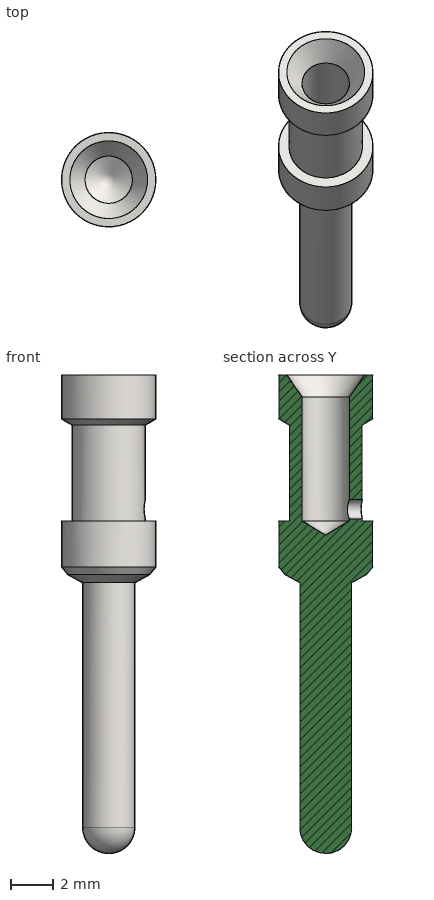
import cadquery as cq
import math

total_length = 22.8
pin_radius = 1.25
collar_radius = 2.25
neck_radius = 1.75

collar_bottom = 12.9
collar_edge = 13.65
collar_top = 15.85
head_bevel_bottom = 20.4
head_edge = 20.7

shoulder_radius = 1.95
shoulder_height = 13.28

mouth_radius = 1.85
bore_radius = 1.125
mouth_depth = 1.05
bore_bottom = collar_top
drill_point_angle = 118

inspection_radius = 0.45
inspection_height = 16.4


def make_body():
    """Revolve the outer profile: round-tipped pin, collar, neck and head."""
    tip_mid = (pin_radius * math.sin(math.pi / 4), pin_radius * (1 - math.cos(math.pi / 4)))
    profile = (
        cq.Workplane("XZ")
        .moveTo(0, 0)
        .threePointArc(tip_mid, (pin_radius, pin_radius))
        .lineTo(pin_radius, collar_bottom)
        .lineTo(shoulder_radius, shoulder_height)
        .lineTo(collar_radius, collar_edge)
        .lineTo(collar_radius, collar_top)
        .lineTo(neck_radius, collar_top)
        .lineTo(neck_radius, head_bevel_bottom)
        .lineTo(collar_radius, head_edge)
        .lineTo(collar_radius, total_length)
        .lineTo(0, total_length)
        .close()
    )
    return profile.revolve(360, (0, 0), (0, 1))


def make_socket():
    """Revolve the socket cavity: tapered mouth, bore and conical floor."""
    point_depth = bore_radius / math.tan(math.radians(drill_point_angle / 2))
    profile = (
        cq.Workplane("XZ")
        .moveTo(0, total_length)
        .lineTo(mouth_radius, total_length)
        .lineTo(bore_radius, total_length - mouth_depth)
        .lineTo(bore_radius, bore_bottom)
        .lineTo(0, bore_bottom - point_depth)
        .close()
    )
    return profile.revolve(360, (0, 0), (0, 1))


def make_inspection_hole():
    """Radial drilling from the axis out through the +X wall of the neck."""
    return (
        cq.Workplane("YZ")
        .center(0, inspection_height)
        .circle(inspection_radius)
        .extrude(collar_radius)
    )


result = make_body().cut(make_socket()).cut(make_inspection_hole())